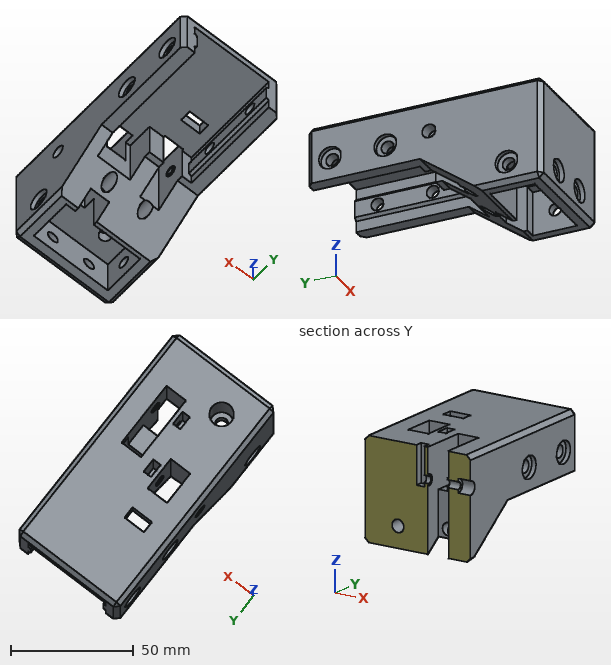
import cadquery as cq

WIDTH = 52.0
LENGTH = 106.0
HEIGHT = 46.0
EDGE_CHAMFER = 2.0
WALL = 6.0
CENTER_X = WIDTH / 2

REAR_BOTTOM = 20.0
SLOPE_TOP_Y = 55.0
SLOPE_FOOT_Y = 27.9

ROOF = 6.4
CHANNEL_TOP = HEIGHT - ROOF
CHANNEL_START_LEFT = 57.9
CHANNEL_START_RIGHT = 45.8
CHANNEL_STEP_X = 28.6
RIB_Z = 30.0
RIB_BASE = 10.0
RIB_HEIGHT = 1.3

SOCKET_LENGTH = 20.0
SOCKET_TOP = 20.0

SCREW_DIAMETER = 5.5
HEAD_DIAMETER = 10.0
HEAD_DEPTH = 2.1
FRONT_SCREW_SPACING = 19.5
LOW_SCREW_Z = 9.8
SOCKET_SCREW_Y = 15.9
REAR_SCREW_YS = (70.7, 95.7)
TOP_SCREW_X = 16.0

WINDOW_WIDTH = 10.0
WINDOW_LENGTH = 15.4
WINDOW_INSET = 11.0
PULLEY_Y_LEFT = 51.0
PULLEY_Y_RIGHT = 28.0
AXLE_Z = 32.0
AXLE_DIAMETER = 3.2
AXLE_HEAD_DIAMETER = 6.0
AXLE_HEAD_DEPTH = 6.0
SPACER_DIAMETER = 5.0
SPACER_HEIGHT = 0.4
NUT_SLOT_GAP = 1.8
NUT_SLOT_WIDTH = 3.7
NUT_SLOT_LENGTH = 6.4

BELT_SLOT_LENGTH = 5.3
BELT_SLOT_Y = 71.4
BELT_FLOOR_Z = 26.0
BELT_OPENING_END_Y = 50.1


def block(x_range, y_range, z_range):
    """Axis-aligned box between the given limits."""
    limits = (x_range, y_range, z_range)
    sizes = [high - low for low, high in limits]
    corner = tuple(low for low, high in limits)
    return cq.Workplane("XY").box(*sizes, centered=False).translate(corner)


def cylinder(start, direction, diameter, length):
    """Round bar that starts at a point and runs along a direction."""
    bar = cq.Solid.makeCylinder(diameter / 2, length, cq.Vector(*start), cq.Vector(*direction))
    return cq.Workplane(bar)


def make_body():
    body = block((0, WIDTH), (0, LENGTH), (0, HEIGHT)).edges().chamfer(EDGE_CHAMFER)
    below_rear = (
        cq.Workplane("YZ")
        .polyline([(SLOPE_FOOT_Y, 0), (SLOPE_TOP_Y, REAR_BOTTOM), (LENGTH, REAR_BOTTOM), (LENGTH, 0)])
        .close()
        .extrude(WIDTH)
    )
    return body.cut(below_rear)


def make_channel():
    """Void for the rear rail, with a tapered locating rib left on each side wall."""
    inner_right = WIDTH - WALL
    channel = block((WALL, inner_right), (CHANNEL_START_LEFT, LENGTH), (0, CHANNEL_TOP))
    channel = channel.union(
        block((CHANNEL_STEP_X, inner_right), (CHANNEL_START_RIGHT, LENGTH), (0, CHANNEL_TOP))
    )
    half_base = RIB_BASE / 2
    half_tip = half_base - RIB_HEIGHT
    for wall_x, inward in ((WALL, 1), (inner_right, -1)):
        tip_x = wall_x + inward * RIB_HEIGHT
        rib = (
            cq.Workplane("XZ")
            .polyline([
                (wall_x, RIB_Z - half_base),
                (tip_x, RIB_Z - half_tip),
                (tip_x, RIB_Z + half_tip),
                (wall_x, RIB_Z + half_base),
            ])
            .close()
            .extrude(-LENGTH)
        )
        channel = channel.cut(rib)
    return channel


def make_socket():
    return block((WALL, WIDTH - WALL), (WALL, WALL + SOCKET_LENGTH), (0, SOCKET_TOP))


def make_screw_holes():
    """Counterbored screw holes through the front, both sides and the top."""
    top_head_depth = HEIGHT - SOCKET_TOP - WALL
    holes = cylinder((TOP_SCREW_X, SOCKET_SCREW_Y, 0), (0, 0, 1), SCREW_DIAMETER, HEIGHT)
    holes = holes.union(
        cylinder((TOP_SCREW_X, SOCKET_SCREW_Y, HEIGHT), (0, 0, -1), HEAD_DIAMETER, top_head_depth)
    )
    for side in (-1, 1):
        x = CENTER_X + side * FRONT_SCREW_SPACING / 2
        start = (x, 0, LOW_SCREW_Z)
        holes = holes.union(cylinder(start, (0, 1, 0), SCREW_DIAMETER, LENGTH))
        holes = holes.union(cylinder(start, (0, 1, 0), HEAD_DIAMETER, HEAD_DEPTH))

    side_positions = [(SOCKET_SCREW_Y, LOW_SCREW_Z)] + [(y, RIB_Z) for y in REAR_SCREW_YS]
    for y, z in side_positions:
        holes = holes.union(cylinder((0, y, z), (1, 0, 0), SCREW_DIAMETER, WIDTH))
        holes = holes.union(cylinder((0, y, z), (1, 0, 0), HEAD_DIAMETER, HEAD_DEPTH))
        holes = holes.union(cylinder((WIDTH, y, z), (-1, 0, 0), HEAD_DIAMETER, HEAD_DEPTH))
    return holes


def make_pulley_void(outer_x, inward, pulley_y):
    """Pulley window with spacer bosses, axle hole and nut slot, placed inward from one outer side."""

    def x_range(near, far):
        return sorted((outer_x + inward * near, outer_x + inward * far))

    def y_range(length):
        return (pulley_y - length / 2, pulley_y + length / 2)

    def axle_bar(start, diameter, length):
        return cylinder((outer_x + inward * start, pulley_y, AXLE_Z), (inward, 0, 0), diameter, length)

    window_end = WINDOW_INSET + WINDOW_WIDTH
    nut_start = window_end + NUT_SLOT_GAP
    nut_end = nut_start + NUT_SLOT_WIDTH
    nut_floor = AXLE_Z - NUT_SLOT_LENGTH / 2

    void = block(x_range(WINDOW_INSET, window_end), y_range(WINDOW_LENGTH), (0, HEIGHT))
    for boss_start in (WINDOW_INSET, window_end - SPACER_HEIGHT):
        void = void.cut(axle_bar(boss_start, SPACER_DIAMETER, SPACER_HEIGHT))
    void = void.union(block(x_range(nut_start, nut_end), y_range(NUT_SLOT_LENGTH), (nut_floor, HEIGHT)))
    void = void.union(axle_bar(0, AXLE_DIAMETER, nut_end))
    return void.union(axle_bar(0, AXLE_HEAD_DIAMETER, AXLE_HEAD_DEPTH))


def make_belt_openings():
    """Belt slot through the roof on the left, belt trough behind the right pulley."""
    left_x = (WINDOW_INSET, WINDOW_INSET + WINDOW_WIDTH)
    right_x = (WIDTH - WINDOW_INSET - WINDOW_WIDTH, WIDTH - WINDOW_INSET)
    trough_start = PULLEY_Y_RIGHT + WINDOW_LENGTH / 2
    slot_y = (BELT_SLOT_Y - BELT_SLOT_LENGTH / 2, BELT_SLOT_Y + BELT_SLOT_LENGTH / 2)
    slot = block(left_x, slot_y, (REAR_BOTTOM, HEIGHT))
    trough = block(right_x, (trough_start, BELT_OPENING_END_Y), (BELT_FLOOR_Z, HEIGHT))
    return slot.union(trough)


result = (
    make_body()
    .cut(make_channel())
    .cut(make_socket())
    .cut(make_screw_holes())
    .cut(make_pulley_void(0, 1, PULLEY_Y_LEFT))
    .cut(make_pulley_void(WIDTH, -1, PULLEY_Y_RIGHT))
    .cut(make_belt_openings())
)